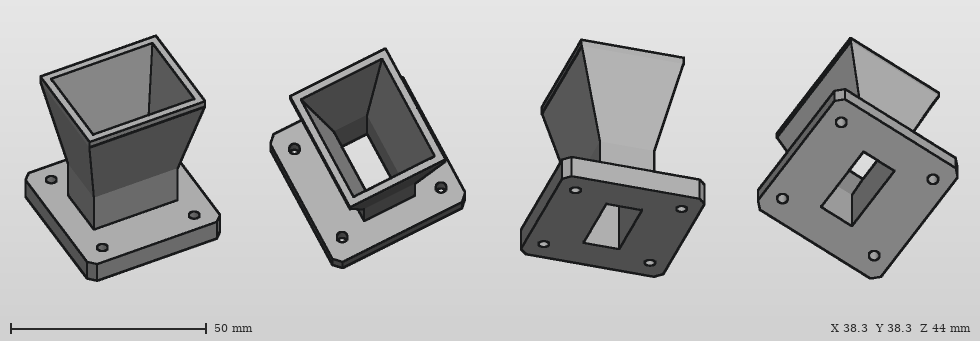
import cadquery as cq

plate_side = 38.3
plate_thickness = 5.9
corner_chamfer = 1.95
hole_diameter = 2.75
hole_spacing_x = 28.5
hole_spacing_y = 26.4

total_height = 44.0
rim_height = 2.0
neck_top = 17.0
rim_bottom = total_height - rim_height
neck_x = 14.6
neck_y = 24.1
flare_x = 27.3
flare_y = 33.25
rim_x = 27.55
rim_y = 33.25

throat_height = 18.05
bore_x = 9.6
bore_y = 19.1
mouth_x = 23.4
mouth_y = 29.15


def block(size_x, size_y, bottom, top):
    """Centred rectangular block between two heights."""
    return cq.Workplane("XY").workplane(offset=bottom).rect(size_x, size_y).extrude(top - bottom)


def taper(bottom_x, bottom_y, top_x, top_y, bottom, top):
    """Centred rectangular frustum between two heights."""
    return (
        cq.Workplane("XY")
        .workplane(offset=bottom)
        .rect(bottom_x, bottom_y)
        .workplane(offset=top - bottom)
        .rect(top_x, top_y)
        .loft(ruled=True)
    )


def make_plate():
    """Square plate with chamfered corners and four through holes."""
    plate = block(plate_side, plate_side, 0, plate_thickness).edges("|Z").chamfer(corner_chamfer)
    return (
        plate.faces(">Z")
        .workplane()
        .rect(hole_spacing_x, hole_spacing_y, forConstruction=True)
        .vertices()
        .hole(hole_diameter)
    )


def make_funnel():
    """Solid outside shape of the funnel."""
    neck = block(neck_x, neck_y, plate_thickness, neck_top)
    flare = taper(neck_x, neck_y, flare_x, flare_y, neck_top, rim_bottom)
    rim = block(rim_x, rim_y, rim_bottom, total_height)
    return neck.union(flare).union(rim)


def make_passage():
    """Straight bore that widens from the throat all the way to the top opening."""
    bore = block(bore_x, bore_y, 0, throat_height)
    flare = taper(bore_x, bore_y, mouth_x, mouth_y, throat_height, total_height)
    return bore.union(flare)


result = make_plate().union(make_funnel()).cut(make_passage())